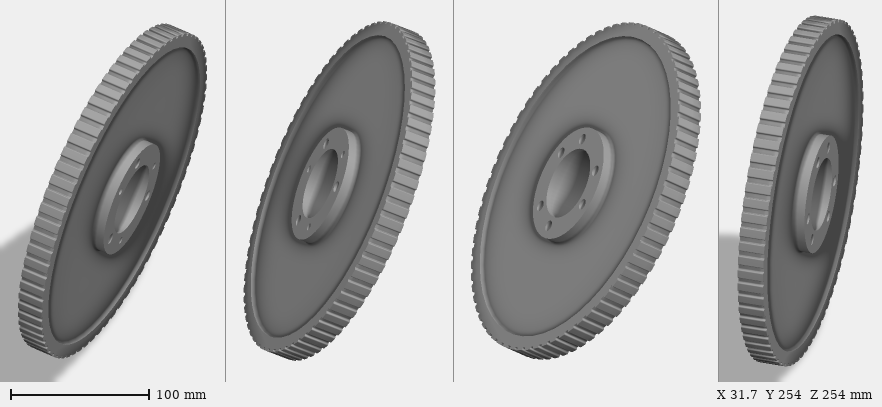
import cadquery as cq
import math

outer_size = 254.0
hub_length = 31.7
hub_radius = 43.2
bore_radius = 26.7

rim_width = 19.3
rim_inner_radius = 116.3
recess_depth = 3.0
recess_corner_radius = 1.6

tooth_count = 72
gap_width = 4.0
gap_depth = 2.0
tooth_corner_radius = 0.8

bolt_circle_radius = 34.0
holes_per_set = 3
hole_diameter = 8.0
small_hole_diameter = 5.3
counterbore_depth = 7.5
plain_hole_start = 105.0
stepped_hole_start = 60.0

tip_radius = math.hypot(outer_size / 2, gap_width / 2 + tooth_corner_radius)
gap_floor_radius = tip_radius - gap_depth
web_half_width = rim_width / 2 - recess_depth

selection_margin = 0.3

hub_face = cq.Plane(origin=(-hub_length / 2, 0, 0), xDir=(0, -1, 0), normal=(-1, 0, 0))


def section_at(x):
    """A workplane across the wheel's axis, facing +X."""
    return cq.Workplane("YZ", origin=(x, 0, 0))


def centred_cylinder(radius, length):
    """A cylinder along the X axis, centred on the origin."""
    return section_at(-length / 2).circle(radius).extrude(length)


def make_toothed_blank():
    """A full disc with straight-sided gaps spread evenly round it and rounded tooth corners."""
    cutter_height = 2 * gap_depth
    gaps = (
        section_at(-rim_width / 2)
        .polarArray(gap_floor_radius + cutter_height / 2, 0, 360, tooth_count)
        .rect(cutter_height, gap_width)
        .extrude(rim_width)
    )
    return centred_cylinder(tip_radius, rim_width).cut(gaps).edges("|X").fillet(tooth_corner_radius)


def cut_recesses(blank):
    """Cut a ring-shaped recess into both faces and round its floor corners, leaving the web."""
    for start_x in (-rim_width / 2, web_half_width):
        recess = section_at(start_x).circle(rim_inner_radius).circle(hub_radius).extrude(recess_depth)
        blank = blank.cut(recess)
    floor_edges = cq.selectors.BoxSelector(
        (-web_half_width - selection_margin, -outer_size, -outer_size),
        (web_half_width + selection_margin, outer_size, outer_size),
        boundingbox=True,
    )
    return blank.edges(floor_edges).fillet(recess_corner_radius)


def hole_set(start_angle, diameter, depth):
    """Evenly spaced holes on the bolt circle, running in from the hub's left face."""
    return (
        cq.Workplane(hub_face)
        .polarArray(bolt_circle_radius, start_angle, 360, holes_per_set)
        .circle(diameter / 2)
        .extrude(-depth)
    )


hub = centred_cylinder(hub_radius, hub_length)
bore = centred_cylinder(bore_radius, hub_length)
wheel = cut_recesses(make_toothed_blank()).union(hub).cut(bore)

plain_holes = hole_set(plain_hole_start, hole_diameter, hub_length)
small_holes = hole_set(stepped_hole_start, small_hole_diameter, hub_length)
counterbores = hole_set(stepped_hole_start, hole_diameter, counterbore_depth)

result = wheel.cut(plain_holes).cut(small_holes).cut(counterbores)